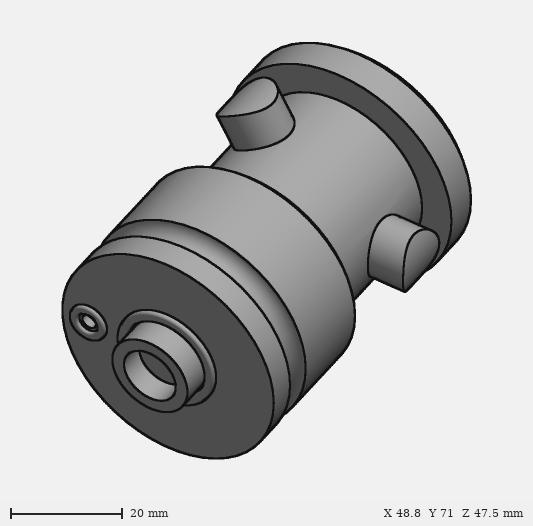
import cadquery as cq
import math


overall_length = 71.0
flange_thickness = 8.0
front_face_depth = 65.0
shoulder_depth = 37.0
pin_depth = 20.0

flange_radius = 23.75
flange_chamfer = 1.5
shaft_radius = 17.5
body_radius = 22.5
shoulder_chamfer = 1.0
shoulder_fillet = body_radius - shoulder_chamfer - shaft_radius
groove_depth = 57.0
groove_half_width = 2.6
groove_cut = 2.5

pin_count = 3
pin_radius = 6.0
pin_reach = 25.0
pin_end_radius = 12.0

tube_radius = 8.0
bore_radius = 5.5
bore_depth = 5.0
seal_outer_radius = 10.25
seal_inner_radius = 8.25
seal_height = 1.1
ring_edge_radius = 0.5

valve_offset = 16.75
valve_outer_radius = 3.8
valve_inner_radius = 2.1
valve_height = 0.9
valve_hole_radius = 1.45
valve_hole_depth = 3.0

plug_count = 4
plug_radius = 3.0
plug_circle_radius = 16.0
plug_start_angle = 45
plug_length = 5.0


def disc(depth, radius, length, x=0.0, z=0.0):
    """Cylinder along the axis, from the given depth toward the front."""
    return cq.Workplane("XZ", origin=(x, -depth, z)).circle(radius).extrude(length)


def turned_body():
    """Flange, shaft, shoulder and grooved head as one revolved profile."""
    chamfer_start = flange_radius - flange_chamfer
    fillet_start = shoulder_depth - shoulder_fillet
    fillet_reach = shoulder_fillet * math.sin(math.radians(45))
    fillet_middle = (
        shaft_radius + shoulder_fillet - fillet_reach,
        -(fillet_start + fillet_reach),
    )
    return (
        cq.Workplane("XY")
        .moveTo(0, 0)
        .lineTo(chamfer_start, 0)
        .lineTo(flange_radius, -flange_chamfer)
        .lineTo(flange_radius, -flange_thickness)
        .lineTo(shaft_radius, -flange_thickness)
        .lineTo(shaft_radius, -fillet_start)
        .threePointArc(fillet_middle, (shaft_radius + shoulder_fillet, -shoulder_depth))
        .lineTo(body_radius, -(shoulder_depth + shoulder_chamfer))
        .lineTo(body_radius, -(groove_depth - groove_half_width))
        .threePointArc(
            (body_radius - groove_cut, -groove_depth),
            (body_radius, -(groove_depth + groove_half_width)),
        )
        .lineTo(body_radius, -front_face_depth)
        .lineTo(0, -front_face_depth)
        .close()
        .revolve(360, (0, 0, 0), (0, 1, 0))
    )


def locking_pin(angle):
    """Radial pin whose outer end is rounded about a line parallel to Y."""
    pin_diameter = 2 * pin_radius
    end_center = pin_reach - pin_end_radius
    pin = cq.Workplane("YZ", origin=(0, -pin_depth, 0)).circle(pin_radius).extrude(pin_reach)
    straight_part = (
        cq.Workplane("YZ", origin=(0, -pin_depth, 0))
        .rect(pin_diameter, pin_diameter)
        .extrude(end_center)
    )
    rounded_end = disc(pin_depth - pin_radius, pin_end_radius, pin_diameter, x=end_center)
    pin = pin.intersect(straight_part.union(rounded_end))
    return pin.rotate((0, 0, 0), (0, 1, 0), angle)


def raised_ring(outer_radius, inner_radius, height, x=0.0):
    """Ring standing on the front face with both top edges rounded."""
    ring = (
        cq.Workplane("XZ", origin=(x, -front_face_depth, 0))
        .circle(outer_radius)
        .circle(inner_radius)
        .extrude(height)
    )
    return ring.faces("<Y").edges().fillet(ring_edge_radius)


def flush_plug(angle):
    """Round plug set into the head, level with the front face."""
    return disc(
        front_face_depth - plug_length,
        plug_radius,
        plug_length,
        x=plug_circle_radius * math.cos(math.radians(angle)),
        z=plug_circle_radius * math.sin(math.radians(angle)),
    )


result = turned_body()

for index in range(pin_count):
    result = result.union(locking_pin(index * 360 / pin_count))

tube_length = overall_length - front_face_depth
result = result.union(disc(front_face_depth, tube_radius, tube_length))
result = result.union(raised_ring(seal_outer_radius, seal_inner_radius, seal_height))
result = result.cut(disc(overall_length - bore_depth, bore_radius, bore_depth))

valve_ring = raised_ring(valve_outer_radius, valve_inner_radius, valve_height, x=-valve_offset)
valve_hole_bottom = front_face_depth - valve_hole_depth
valve_hole = disc(valve_hole_bottom, valve_hole_radius, valve_hole_depth, x=-valve_offset)
result = result.union(valve_ring).cut(valve_hole)

for index in range(plug_count):
    result = result.union(flush_plug(plug_start_angle + index * 360 / plug_count), clean=False)